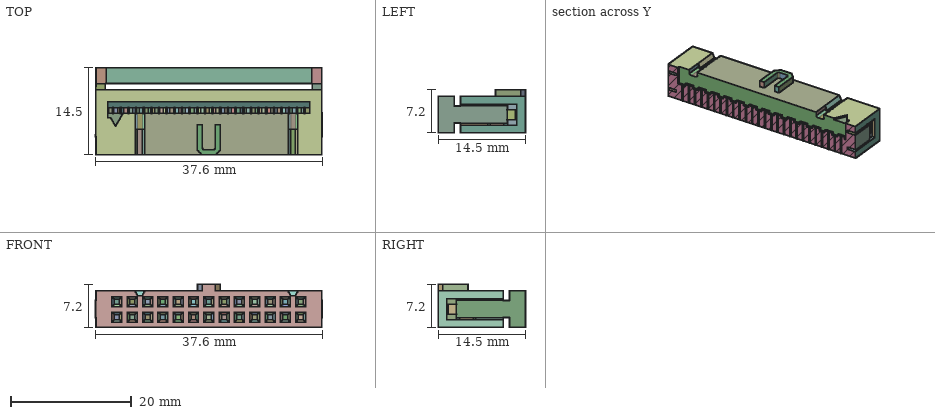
import cadquery as cq
import math


BODY_LENGTH = 37.48
BODY_DEPTH = 10.82
BODY_HEIGHT = 6.1
HALF_LENGTH = BODY_LENGTH / 2
MID_HEIGHT = BODY_HEIGHT / 2

PITCH = 2.54
COLUMNS = 13
ROWS = 2
HOLE_MOUTH = 1.65
HOLE_BOTTOM = 0.82
HOLE_TAPER = 45
HOLE_DEPTH = (HOLE_MOUTH - HOLE_BOTTOM) / 2
ROW_CENTRE_Z = 3.0

SLOT_HALF_LENGTH = 16.73
SLOT_FRONT_Y = 6.92
SLOT_BACK_Y = 7.87
LEAD_IN = 0.92
SLOT_FLOOR_Z = 3.0

CONTACT_PITCH = PITCH / 2
CONTACT_COUNT = ROWS * COLUMNS
CONTACT_GAP = 0.18
PAD_WIDTH = 1.47
PAD_HEIGHT = 0.4

ARROW_DEPTH = 0.3
ARROW_TIP_X = -15.47
ARROW_TIP_Y = 4.77
ARROW_STEP_Y = 6.16
ARROW_HALF_ANGLE = 30

GROOVE_CENTRES = (-4.5 * PITCH, 5.5 * PITCH)
GROOVE_WIDTH = 1.6
GROOVE_FLOOR_WIDTH = 0.8
GROOVE_DEPTH = 0.8
GROOVE_BACK_DEPTH = 0.92
GROOVE_STEP_Y = 4.24
GROOVE_ARC_ANGLE = 56

KEY_HEIGHT = 1.1
KEY_LENGTH = 5.0
KEY_HALF_WIDTH = 1.9
KEY_INNER_HALF_WIDTH = 1.05
KEY_WEB = 0.87
KEY_CHAMFER = 0.8
KEY_INNER_RADIUS = 0.3

COVER_FRONT_Y = 11.82
COVER_BACK_Y = 14.5
BLOCK_LENGTH = 1.7
ARM_TIP_Y = 3.05
ARM_HEIGHT = 2.85
ARM_ROOT_THICKNESS = 1.6
ARM_TIP_SPLAY = 0.06

CHANNEL_HEIGHT = 3.5
CHANNEL_FRONT_Y = 1.45
BACK_RAMP = (6.26, 5.86)
FRONT_RAMP = (3.62, 2.97)
CHANNEL_MID_DEPTH = ARM_ROOT_THICKNESS - (BACK_RAMP[0] - BACK_RAMP[1])
CHANNEL_TIP_DEPTH = CHANNEL_MID_DEPTH - (FRONT_RAMP[0] - FRONT_RAMP[1])

POCKET_DEPTH = 1.5
POCKET_FRONT_Y = 1.68
POCKET_HEIGHT = 1.68


def box(x0, x1, y0, y1, z0, z1):
    """Box between opposite corners."""
    return cq.Workplane("XY").box(x1 - x0, y1 - y0, z1 - z0, centered=False).translate((x0, y0, z0))


def prism(points, z0, z1):
    """Straight prism on an XY outline."""
    return cq.Workplane("XY").workplane(offset=z0).polyline(points).close().extrude(z1 - z0)


def both_ends(shape):
    """The shape at the -X end together with its mirror image at the +X end."""
    return shape.union(shape.mirror("YZ"))


def pin_holes():
    columns = [(i - (COLUMNS - 1) / 2) * PITCH for i in range(COLUMNS)]
    rows = [ROW_CENTRE_Z + (j - (ROWS - 1) / 2) * PITCH for j in range(ROWS)]
    centres = [(x, z) for x in columns for z in rows]
    front = cq.Workplane("XZ").pushPoints(centres)
    return front.rect(HOLE_MOUTH, HOLE_MOUTH).extrude(-HOLE_DEPTH, taper=HOLE_TAPER)


def cable_slot():
    lead_in_z = BODY_HEIGHT - LEAD_IN
    profile = [
        (SLOT_FRONT_Y, SLOT_FLOOR_Z),
        (SLOT_BACK_Y, SLOT_FLOOR_Z),
        (SLOT_BACK_Y, lead_in_z),
        (SLOT_BACK_Y + LEAD_IN, BODY_HEIGHT),
        (SLOT_FRONT_Y, BODY_HEIGHT),
    ]
    side = cq.Workplane("YZ").polyline(profile).close()
    return side.extrude(SLOT_HALF_LENGTH, both=True)


def contact_positions():
    return [(i - (CONTACT_COUNT - 1) / 2) * CONTACT_PITCH for i in range(CONTACT_COUNT)]


def contact_pads():
    """Pads on the slot floor around every second contact."""
    pads = cq.Workplane("XY")
    for x in contact_positions()[::2]:
        pads = pads.union(box(
            x - PAD_WIDTH / 2, x + PAD_WIDTH / 2,
            SLOT_FRONT_Y, SLOT_BACK_Y,
            SLOT_FLOOR_Z, SLOT_FLOOR_Z + PAD_HEIGHT,
        ))
    return pads


def contact_gaps():
    """Narrow gaps that pass from the slot floor out through the underside."""
    gaps = cq.Workplane("XY")
    for x in contact_positions():
        gaps = gaps.union(box(
            x - CONTACT_GAP / 2, x + CONTACT_GAP / 2,
            SLOT_FRONT_Y, SLOT_BACK_Y,
            0, SLOT_FLOOR_Z + PAD_HEIGHT,
        ))
    return gaps


def arrow():
    half_angle = math.radians(ARROW_HALF_ANGLE)
    step_x = ARROW_TIP_X - (ARROW_STEP_Y - ARROW_TIP_Y) * math.tan(half_angle)
    right_x = ARROW_TIP_X + (SLOT_FRONT_Y - ARROW_TIP_Y) * math.tan(half_angle)
    outline = [
        (-SLOT_HALF_LENGTH, SLOT_FRONT_Y),
        (-SLOT_HALF_LENGTH, ARROW_STEP_Y),
        (step_x, ARROW_STEP_Y),
        (ARROW_TIP_X, ARROW_TIP_Y),
        (right_x, SLOT_FRONT_Y),
    ]
    return prism(outline, BODY_HEIGHT - ARROW_DEPTH, BODY_HEIGHT)


def groove_front(x):
    """Front stretch of a groove, with sloped walls and a flat floor."""
    floor_z = BODY_HEIGHT - GROOVE_DEPTH
    profile = [
        (x - GROOVE_WIDTH / 2, BODY_HEIGHT),
        (x + GROOVE_WIDTH / 2, BODY_HEIGHT),
        (x + GROOVE_FLOOR_WIDTH / 2, floor_z),
        (x - GROOVE_FLOOR_WIDTH / 2, floor_z),
    ]
    return cq.Workplane("XZ").polyline(profile).close().extrude(-GROOVE_STEP_Y)


def groove_back(x):
    """Back stretch of a groove: upright walls, and a flat floor that curves up towards them."""
    floor_z = BODY_HEIGHT - GROOVE_BACK_DEPTH
    half_width = GROOVE_WIDTH / 2
    half_floor = GROOVE_FLOOR_WIDTH / 2
    angle = math.radians(GROOVE_ARC_ANGLE)
    radius = (half_width - half_floor) / math.sin(angle)
    arc_end_z = floor_z + radius * (1 - math.cos(angle))
    arc_mid_x = half_floor + radius * math.sin(angle / 2)
    arc_mid_z = floor_z + radius * (1 - math.cos(angle / 2))
    return (
        cq.Workplane("XZ", origin=(x, GROOVE_STEP_Y, 0))
        .moveTo(-half_width, BODY_HEIGHT)
        .lineTo(half_width, BODY_HEIGHT)
        .lineTo(half_width, arc_end_z)
        .threePointArc((arc_mid_x, arc_mid_z), (half_floor, floor_z))
        .lineTo(-half_floor, floor_z)
        .threePointArc((-arc_mid_x, arc_mid_z), (-half_width, arc_end_z))
        .close()
        .extrude(-(SLOT_FRONT_Y - GROOVE_STEP_Y))
    )


def key():
    top_z = BODY_HEIGHT + KEY_HEIGHT
    outer = box(-KEY_HALF_WIDTH, KEY_HALF_WIDTH, 0, KEY_LENGTH, BODY_HEIGHT, top_z)
    outer = outer.edges("|Z and <Y").chamfer(KEY_CHAMFER)
    inner = box(-KEY_INNER_HALF_WIDTH, KEY_INNER_HALF_WIDTH, KEY_WEB, KEY_LENGTH, BODY_HEIGHT, top_z)
    inner = inner.edges("|Z and <Y").fillet(KEY_INNER_RADIUS)
    return outer.cut(inner)


def ramped_floor():
    """Points along the channel floor at the -X end, from the back to the end of the front ramp."""
    return [
        (-HALF_LENGTH + ARM_ROOT_THICKNESS, BODY_DEPTH),
        (-HALF_LENGTH + ARM_ROOT_THICKNESS, BACK_RAMP[0]),
        (-HALF_LENGTH + CHANNEL_MID_DEPTH, BACK_RAMP[1]),
        (-HALF_LENGTH + CHANNEL_MID_DEPTH, FRONT_RAMP[0]),
        (-HALF_LENGTH + CHANNEL_TIP_DEPTH, FRONT_RAMP[1]),
    ]


def arm_channel():
    outline = [(-HALF_LENGTH, BODY_DEPTH)] + ramped_floor() + [
        (-HALF_LENGTH + CHANNEL_TIP_DEPTH, CHANNEL_FRONT_Y),
        (-HALF_LENGTH, CHANNEL_FRONT_Y),
    ]
    channel = prism(outline, MID_HEIGHT - CHANNEL_HEIGHT / 2, MID_HEIGHT + CHANNEL_HEIGHT / 2)
    pocket = box(
        -HALF_LENGTH, -HALF_LENGTH + POCKET_DEPTH,
        POCKET_FRONT_Y, FRONT_RAMP[0],
        MID_HEIGHT - POCKET_HEIGHT / 2, MID_HEIGHT + POCKET_HEIGHT / 2,
    )
    return channel.union(pocket)


def cover_end():
    """Arm and end block at the -X end; the outer face leans outwards towards the arm's tip."""
    inner_x = -HALF_LENGTH + BLOCK_LENGTH
    tip_x = -HALF_LENGTH - ARM_TIP_SPLAY
    block = prism(
        [(-HALF_LENGTH, COVER_BACK_Y), (tip_x, ARM_TIP_Y), (inner_x, ARM_TIP_Y), (inner_x, COVER_BACK_Y)],
        0, BODY_HEIGHT,
    )
    block = block.intersect(box(tip_x, inner_x, COVER_FRONT_Y, COVER_BACK_Y, 0, BODY_HEIGHT))
    tip_inner_x = -HALF_LENGTH + CHANNEL_TIP_DEPTH + (ARM_TIP_Y - FRONT_RAMP[1])
    arm_outline = [
        (-HALF_LENGTH, COVER_BACK_Y),
        (-HALF_LENGTH + ARM_ROOT_THICKNESS, COVER_BACK_Y),
    ] + ramped_floor()[1:-1] + [(tip_inner_x, ARM_TIP_Y), (tip_x, ARM_TIP_Y)]
    arm = prism(arm_outline, MID_HEIGHT - ARM_HEIGHT / 2, MID_HEIGHT + ARM_HEIGHT / 2)
    return block.union(arm)


def cover_bar():
    half = HALF_LENGTH - BLOCK_LENGTH
    return box(
        -half, half,
        COVER_FRONT_Y, COVER_BACK_Y,
        MID_HEIGHT - ARM_HEIGHT / 2, MID_HEIGHT + ARM_HEIGHT / 2,
    )


body = box(-HALF_LENGTH, HALF_LENGTH, 0, BODY_DEPTH, 0, BODY_HEIGHT)
body = body.cut(pin_holes())
body = body.cut(cable_slot())
body = body.union(contact_pads())
body = body.cut(contact_gaps())
body = body.cut(arrow())
for groove_x in GROOVE_CENTRES:
    body = body.cut(groove_front(groove_x))
    body = body.cut(groove_back(groove_x))
body = body.cut(both_ends(arm_channel()))
body = body.union(key())

result = body.union(both_ends(cover_end())).union(cover_bar())